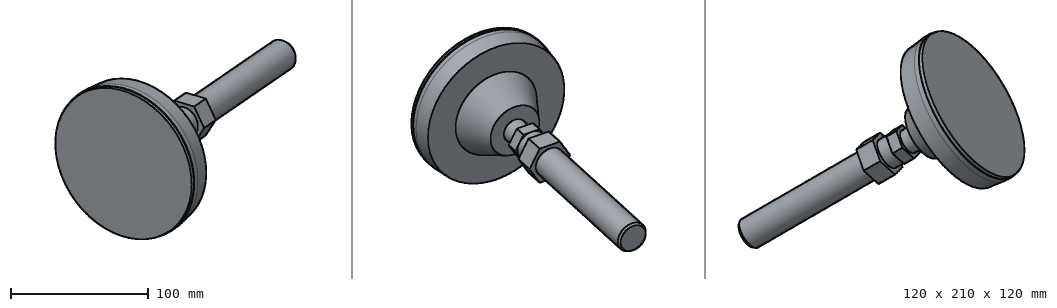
import cadquery as cq
import math

total_length = 210.0
pad_height = 3.0
rim_height = 4.2
taper_height = 14.0
cone_height = 25.8
neck_length = 13.6
small_hex_height = 9.2
hex_gap = 9.9
nut_height = 15.3

rim_diameter = 120.0
pad_diameter = 118.9
base_top_diameter = 116.5
cone_bottom_diameter = 69.3
cone_top_diameter = 41.5
neck_diameter = 19.0
spindle_diameter = 24.0
spindle_tip_diameter = 21.5
tip_chamfer_length = 1.9

small_hex_width = 24.0
nut_width = 30.0

rim_top = pad_height + rim_height
base_top = rim_top + taper_height
cone_top = base_top + cone_height
small_hex_start = cone_top + neck_length
small_hex_end = small_hex_start + small_hex_height
nut_start = small_hex_end + hex_gap


def make_turned_body():
    """Revolve the half outline of the pad, base, cone, neck and spindle about Y."""
    outline = [
        (0, 0),
        (pad_diameter / 2, 0),
        (pad_diameter / 2, pad_height),
        (rim_diameter / 2, pad_height),
        (rim_diameter / 2, rim_top),
        (base_top_diameter / 2, base_top),
        (cone_bottom_diameter / 2, base_top),
        (cone_top_diameter / 2, cone_top),
        (neck_diameter / 2, cone_top),
        (neck_diameter / 2, small_hex_end),
        (spindle_diameter / 2, small_hex_end),
        (spindle_diameter / 2, total_length - tip_chamfer_length),
        (spindle_tip_diameter / 2, total_length),
        (0, total_length),
    ]
    return cq.Workplane("XY").polyline(outline).close().revolve(360, (0, 0), (0, 1))


def make_hexagon(start, height, width):
    """Hexagonal prism along Y with corners on +X and -X."""
    corner_diameter = width / math.cos(math.pi / 6)
    return (
        cq.Workplane("XZ", origin=(0, start, 0))
        .polygon(6, corner_diameter)
        .extrude(-height)
    )


small_hex = make_hexagon(small_hex_start, small_hex_height, small_hex_width)
nut = make_hexagon(nut_start, nut_height, nut_width)

result = make_turned_body().union(small_hex).union(nut)